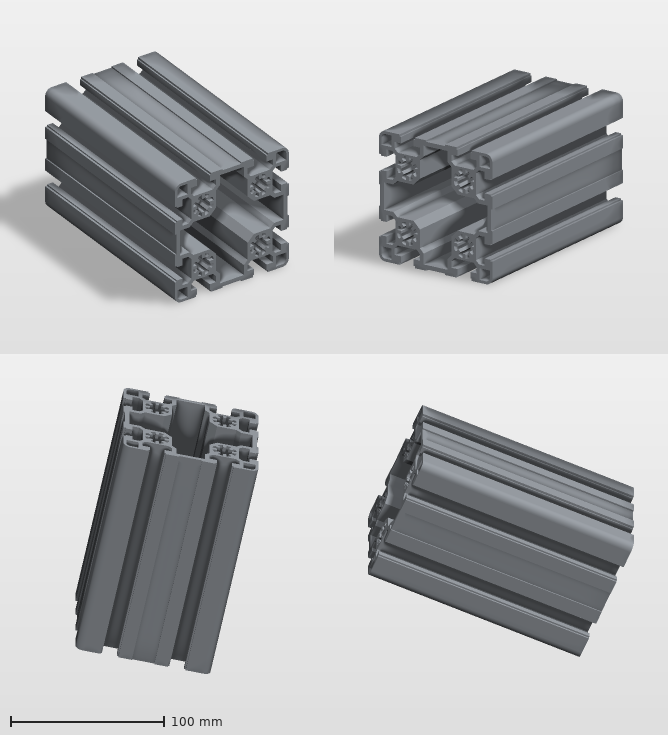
import cadquery as cq
import math


LENGTH = 150.0
SIDE = 90.0
CORNER_RADIUS = 5.0
HALF_SIDE = SIDE / 2
CORE_OFFSET = SIDE / 4

SLOT_HALF_MOUTH = 6.0
MOUTH_STEP_DEPTH = 1.5
SLOT_HALF_OPENING = 5.0
LIP_THICKNESS = 6.0
SLOT_HALF_WIDTH = 10.0
SLOT_DEPTH = 13.0
SLOT_CHAMFER = 2.5

CELL_OUTER_WALL = 2.0
CELL_SLOT_WALL = 2.5
CELL_RADIUS = CORNER_RADIUS - CELL_OUTER_WALL

WEB_THICKNESS = 4.0
ARM_SLOT_WALL = 3.0
ARM_CHAMFER = 3.0
ARM_SHOULDER_DEPTH = 11.5
CORE_CHAMFER = 5.0
CORE_HALF_WIDTH = 10.0

RELIEF_HALF_WIDTH = 7.5
RELIEF_DEPTH = 1.0

CHANNEL_RADIUS = 8.2
RIB_TIP_RADIUS = 5.0
RIB_HALF_WIDTH = 1.2
NARROW_TIP_HALF_WIDTH = 0.9
NARROW_TIP_LENGTH = 0.7
RIB_ROOT_FILLET = 1.0

QUARTER_TURNS = (0, 90, 180, 270)
DIAGONAL_TURN = 45


def extrude_outline(points):
    """Full-length bar from a closed outline of (y, z) points."""
    return cq.Workplane("YZ").polyline(points).close().extrude(LENGTH / 2, both=True)


def mirrored(half_outline):
    """Complete an outline that is symmetric about the local z axis."""
    return half_outline + [(-y, z) for y, z in reversed(half_outline)]


def turned(bar, angle):
    """Turn a bar about the profile axis."""
    return bar.rotate((0, 0, 0), (1, 0, 0), angle)


def make_square_bar():
    bar = cq.Workplane("YZ").rect(SIDE, SIDE).extrude(LENGTH / 2, both=True)
    return bar.edges("|X").fillet(CORNER_RADIUS)


def make_slot():
    """Void of one T-slot, open at the +Z face and centred on y = 0."""
    step = HALF_SIDE - MOUTH_STEP_DEPTH
    lip = HALF_SIDE - LIP_THICKNESS
    floor = HALF_SIDE - SLOT_DEPTH
    half_outline = [
        (SLOT_HALF_MOUTH, HALF_SIDE),
        (SLOT_HALF_MOUTH, step),
        (SLOT_HALF_OPENING, step),
        (SLOT_HALF_OPENING, lip),
        (SLOT_HALF_WIDTH, lip),
        (SLOT_HALF_WIDTH, floor + SLOT_CHAMFER),
        (SLOT_HALF_WIDTH - SLOT_CHAMFER, floor),
    ]
    return extrude_outline(mirrored(half_outline))


def make_relief():
    """Void of the shallow relief in the +Z face."""
    bottom = HALF_SIDE - RELIEF_DEPTH
    return extrude_outline(mirrored([(RELIEF_HALF_WIDTH, HALF_SIDE), (RELIEF_HALF_WIDTH, bottom)]))


def make_corner_cell():
    """Void of the hollow cell in the +Y +Z corner, rounded on its outer corner."""
    outer = HALF_SIDE - CELL_OUTER_WALL
    inner = CORE_OFFSET + SLOT_HALF_WIDTH + CELL_SLOT_WALL
    cell = extrude_outline([(inner, inner), (outer, inner), (outer, outer), (inner, outer)])
    return cell.edges("|X and >(0, 1, 1)").fillet(CELL_RADIUS)


def make_cavity_arm():
    """Void of the central cavity's +Z arm, tapering to the profile axis."""
    arm_half_width = CORE_OFFSET - SLOT_HALF_WIDTH - ARM_SLOT_WALL
    shoulder = HALF_SIDE - ARM_SHOULDER_DEPTH
    core_face = CORE_OFFSET - CORE_HALF_WIDTH
    half_outline = [
        (arm_half_width, HALF_SIDE - WEB_THICKNESS),
        (arm_half_width, shoulder),
        (arm_half_width + ARM_CHAMFER, shoulder - ARM_CHAMFER),
        (core_face, core_face + CORE_CHAMFER),
        (core_face + CORE_CHAMFER, core_face),
        (core_face + CORE_CHAMFER, 0),
    ]
    return extrude_outline(mirrored(half_outline))


def make_rib(narrow_tip):
    """Rib pointing from the channel wall (+Z) towards the channel axis."""
    half_outline = [(RIB_HALF_WIDTH, CHANNEL_RADIUS + RIB_HALF_WIDTH)]
    if narrow_tip:
        half_outline.append((RIB_HALF_WIDTH, RIB_TIP_RADIUS + NARROW_TIP_LENGTH))
        half_outline.append((NARROW_TIP_HALF_WIDTH, RIB_TIP_RADIUS))
    else:
        half_outline.append((RIB_HALF_WIDTH, RIB_TIP_RADIUS))
    return extrude_outline(mirrored(half_outline))


def make_screw_channel():
    """Void of one screw channel; the diagonal ribs have filleted roots."""
    channel = cq.Workplane("YZ").circle(CHANNEL_RADIUS).extrude(LENGTH / 2, both=True)
    for angle in QUARTER_TURNS:
        channel = channel.cut(turned(make_rib(narrow_tip=False), angle + DIAGONAL_TURN))

    mid_rib_radius = (CHANNEL_RADIUS + RIB_TIP_RADIUS) / 2
    root_edges = channel.edges("|X").filter(
        lambda edge: math.hypot(edge.Center().y, edge.Center().z) > mid_rib_radius
    )
    channel = channel.newObject(root_edges.vals()).fillet(RIB_ROOT_FILLET)

    for angle in QUARTER_TURNS:
        channel = channel.cut(turned(make_rib(narrow_tip=True), angle))
    return channel


def make_profile():
    profile = make_square_bar()
    slot = make_slot()
    relief = make_relief()
    cell = make_corner_cell()
    arm = make_cavity_arm()
    channel = make_screw_channel().translate((0, CORE_OFFSET, CORE_OFFSET))
    for angle in QUARTER_TURNS:
        for slot_centre in (-CORE_OFFSET, CORE_OFFSET):
            profile = profile.cut(turned(slot.translate((0, slot_centre, 0)), angle))
        for void in (relief, cell, arm, channel):
            profile = profile.cut(turned(void, angle))
    return profile


result = make_profile()